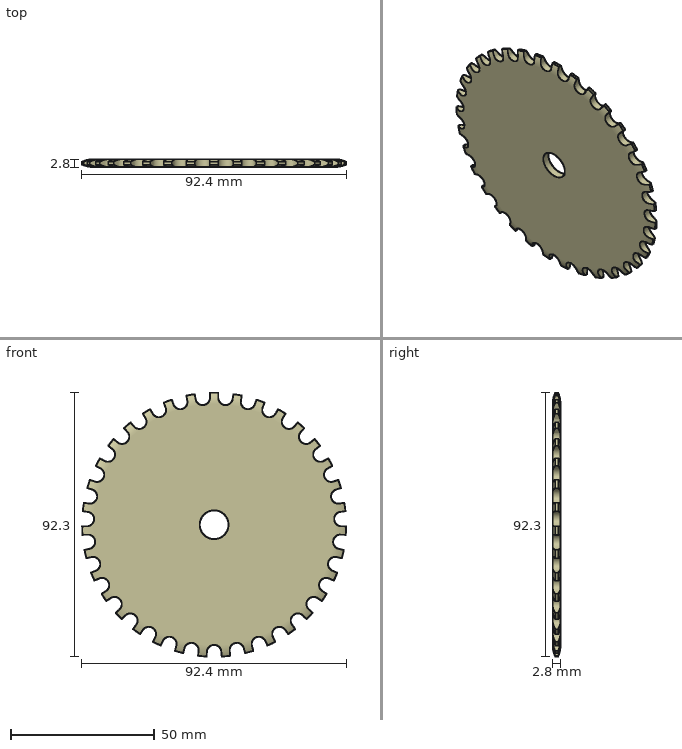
import cadquery as cq
import math

tooth_count = 35
outer_radius = 46.2
thickness = 2.8
bore_diameter = 10.0
face_radius = 42.4
side_radius = 8.8
roller_radius = 2.5
seat_radius = 42.1
tooth_width = 3.05

half_thickness = thickness / 2
half_pitch_angle = math.pi / tooth_count
pitch_radius = seat_radius + roller_radius
tooth_depth = outer_radius - face_radius


def side_drop(distance):
    """Inward offset of the rounded tooth side at a distance beyond the flat face."""
    return side_radius - math.sqrt(side_radius**2 - distance**2)


def make_blank():
    """Disc with the teeth's rounded sides, revolved about the Y axis."""
    tip = half_thickness - side_drop(tooth_depth)
    middle_radius = face_radius + tooth_depth / 2
    middle = half_thickness - side_drop(tooth_depth / 2)
    return (
        cq.Workplane("XY")
        .moveTo(0, -half_thickness)
        .lineTo(face_radius, -half_thickness)
        .threePointArc((middle_radius, -middle), (outer_radius, -tip))
        .lineTo(outer_radius, tip)
        .threePointArc((middle_radius, middle), (face_radius, half_thickness))
        .lineTo(0, half_thickness)
        .close()
        .revolve(360, (0, 0, 0), (0, 1, 0))
    )


def make_gap():
    """Cutter for the gap above the wheel centre: a round seat opening between two flanks."""
    flank_offset = tooth_width / 2
    sine = math.sin(half_pitch_angle)
    cosine = math.cos(half_pitch_angle)

    across = pitch_radius * sine - flank_offset
    along = pitch_radius * cosine - math.sqrt(roller_radius**2 - across**2)
    cut_length = outer_radius + roller_radius

    def flank_point(distance):
        x = distance * sine - flank_offset * cosine
        z = distance * cosine + flank_offset * sine
        return x, z

    seat_x, seat_z = flank_point(along)
    top_x, top_z = flank_point(cut_length)
    return (
        cq.Workplane("XZ")
        .moveTo(-top_x, top_z)
        .lineTo(-seat_x, seat_z)
        .threePointArc((0, seat_radius), (seat_x, seat_z))
        .lineTo(top_x, top_z)
        .close()
        .extrude(thickness, both=True)
    )


def make_bore():
    return cq.Workplane("XZ").circle(bore_diameter / 2).extrude(thickness, both=True)


result = make_blank().cut(make_bore())
gap = make_gap()
for index in range(tooth_count):
    angle = math.degrees((2 * index + 1) * half_pitch_angle)
    result = result.cut(gap.rotate((0, 0, 0), (0, 1, 0), angle))